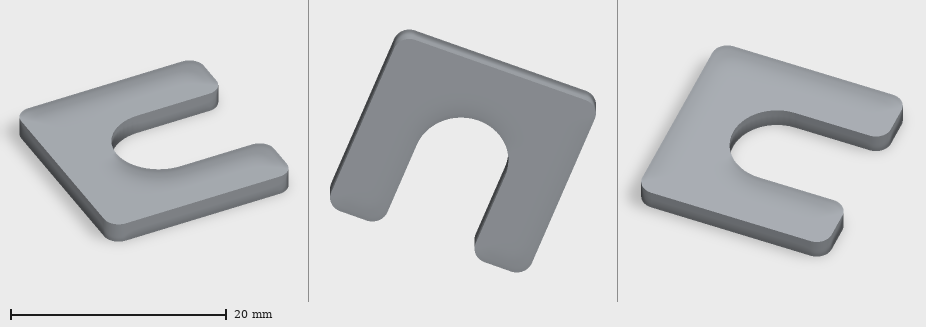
import cadquery as cq

width = 20.0
depth = 19.0
thickness = 2.0
corner_radius = 1.5
slot_width = 8.8
web_depth = 5.6

slot_radius = slot_width / 2
slot_center_y = -depth / 2 + web_depth + slot_radius
open_edge_y = depth / 2


def make_shim():
    """U-shaped plate with a round-bottomed slot open towards +Y."""
    outline = (
        cq.Workplane("XY")
        .moveTo(-width / 2, -depth / 2)
        .lineTo(width / 2, -depth / 2)
        .lineTo(width / 2, open_edge_y)
        .lineTo(slot_radius, open_edge_y)
        .lineTo(slot_radius, slot_center_y)
        .threePointArc((0, slot_center_y - slot_radius), (-slot_radius, slot_center_y))
        .lineTo(-slot_radius, open_edge_y)
        .lineTo(-width / 2, open_edge_y)
        .close()
    )
    return outline.extrude(thickness)


def round_corners(plate):
    """Round the four outer corners and the two slot mouth corners."""
    base_corners = plate.faces("<Y").edges("|Z")
    tip_corners = plate.faces(">Y").edges("|Z")
    return base_corners.add(tip_corners).fillet(corner_radius)


result = round_corners(make_shim())